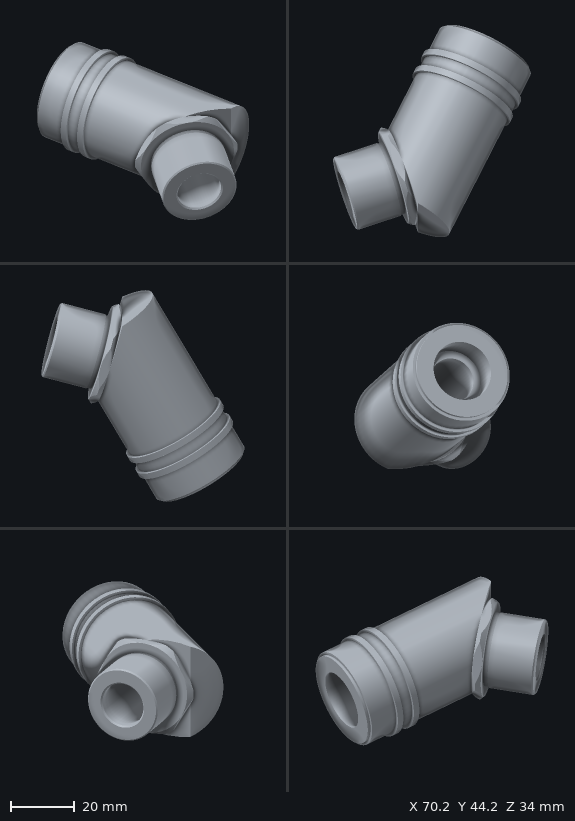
import cadquery as cq
import math

BARREL_DIAMETER = 32.0
BARREL_LENGTH = 59.0
LIP_DIAMETER = 30.0
LIP_LENGTH = 1.0
PORT_DIAMETER = 18.95
PORT_DEPTH = 10.0

RING_DIAMETER = 34.0
RING_WIDTH = 2.0
RING_STARTS = (9.95, 15.9)

BORE_DIAMETER = 14.0
BORE_CHAMFER = 0.5
ELBOW_X = 43.0
ELBOW_ANGLE = 45.0

SLANT_FACE_OFFSET = 7.8
HEX_ACROSS_FLATS = 30.0
HEX_THICKNESS = 3.0
RELIEF_DIAMETER = 23.5
RELIEF_LENGTH = 1.55
SPIGOT_DIAMETER = 24.0
SPIGOT_LENGTH = 16.0
SPIGOT_CHAMFER = 0.4

HEX_END = SLANT_FACE_OFFSET + HEX_THICKNESS
SPIGOT_TIP = HEX_END + SPIGOT_LENGTH

angle = math.radians(ELBOW_ANGLE)
spigot_direction = cq.Vector(math.cos(angle), -math.sin(angle), 0)
across_direction = cq.Vector(math.sin(angle), math.cos(angle), 0)


def spigot_plane(distance):
    """Plane square to the spigot axis, at a distance from the elbow point."""
    origin = cq.Vector(ELBOW_X, 0, 0) + spigot_direction * distance
    return cq.Workplane(cq.Plane(origin, across_direction, spigot_direction))


def x_cylinder(diameter, start, length):
    return cq.Workplane("YZ", origin=(start, 0, 0)).circle(diameter / 2).extrude(length)


def make_barrel():
    """Stepped cylinder with its far side cut off square to the spigot axis."""
    lip = x_cylinder(LIP_DIAMETER, 0, LIP_LENGTH)
    barrel = lip.union(x_cylinder(BARREL_DIAMETER, LIP_LENGTH, BARREL_LENGTH - LIP_LENGTH))
    removed_size = 2 * BARREL_LENGTH
    removed = spigot_plane(SLANT_FACE_OFFSET).rect(removed_size, removed_size).extrude(removed_size)
    return barrel.cut(removed)


def make_hexagon():
    """Hexagon whose corners are turned off by two 45-degree cones meeting at mid thickness."""
    corner_diameter = HEX_ACROSS_FLATS / math.cos(math.pi / 6)
    hexagon = spigot_plane(SLANT_FACE_OFFSET).polygon(6, corner_diameter).extrude(HEX_THICKNESS)
    half_thickness = HEX_THICKNESS / 2
    face_radius = HEX_ACROSS_FLATS / 2
    middle = SLANT_FACE_OFFSET + half_thickness
    profile_plane = cq.Plane((ELBOW_X, 0, 0), across_direction, (0, 0, -1))
    double_cone = (
        cq.Workplane(profile_plane)
        .moveTo(0, SLANT_FACE_OFFSET)
        .lineTo(face_radius, SLANT_FACE_OFFSET)
        .lineTo(face_radius + half_thickness, middle)
        .lineTo(face_radius, HEX_END)
        .lineTo(0, HEX_END)
        .close()
        .revolve(360, (0, 0, 0), (0, 1, 0))
    )
    return hexagon.intersect(double_cone)


def make_spigot():
    """Chamfered cylinder behind a slightly thinner relief next to the hexagon."""
    relief = spigot_plane(HEX_END).circle(RELIEF_DIAMETER / 2).extrude(RELIEF_LENGTH)
    shank = (
        spigot_plane(HEX_END + RELIEF_LENGTH)
        .circle(SPIGOT_DIAMETER / 2)
        .extrude(SPIGOT_LENGTH - RELIEF_LENGTH)
        .faces(cq.selectors.DirectionMinMaxSelector(spigot_direction))
        .chamfer(SPIGOT_CHAMFER)
    )
    return relief.union(shank)


def make_flow_bore():
    """Port counterbore, mitred bent bore and the entry chamfer at the spigot tip."""
    port = x_cylinder(PORT_DIAMETER, 0, PORT_DEPTH)
    tip = spigot_direction * SPIGOT_TIP
    path = cq.Workplane("XY").polyline([(0, 0), (ELBOW_X, 0), (ELBOW_X + tip.x, tip.y)])
    bent_bore = cq.Workplane("YZ").circle(BORE_DIAMETER / 2).sweep(path, transition="right")
    entry = (
        spigot_plane(SPIGOT_TIP - BORE_CHAMFER)
        .circle(BORE_DIAMETER / 2)
        .workplane(offset=BORE_CHAMFER)
        .circle(BORE_DIAMETER / 2 + BORE_CHAMFER)
        .loft()
    )
    return port.union(bent_bore).union(entry)


def make_housing():
    outside = make_barrel().union(make_hexagon()).union(make_spigot())
    return outside.cut(make_flow_bore())


def make_ring(start):
    """Flat band seated on the barrel surface."""
    inside = x_cylinder(BARREL_DIAMETER, start, RING_WIDTH)
    return x_cylinder(RING_DIAMETER, start, RING_WIDTH).cut(inside)


housing = make_housing()
rings = [make_ring(start) for start in RING_STARTS]

result = cq.Compound.makeCompound([housing.solids().val(), *[ring.solids().val() for ring in rings]])